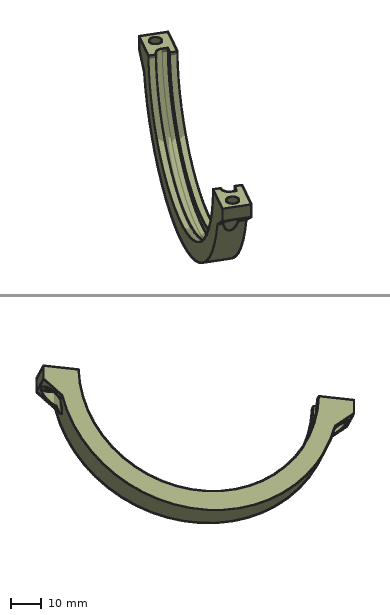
import cadquery as cq
import math

length = 106.0
width = 10.0
height = 47.0
axis_height = 1.1
wall = 7.0
ear_edge = 5.0
slope_foot_x = 46.6

bolt_diameter = 4.2
bolt_x = 49.0
bolt_y = -0.4
head_diameter = 7.0
head_seat_depth = 5.0

groove_width = 4.8
groove_depth = 2.9

half_length = length / 2
outer_radius = height + axis_height
inner_radius = outer_radius - wall
slope_foot_z = axis_height - math.sqrt(outer_radius**2 - slope_foot_x**2)
bore_half_width = math.sqrt(inner_radius**2 - axis_height**2)


def make_body():
    """Half ring with a tapered ear at each end."""
    return (
        cq.Workplane("XZ")
        .moveTo(-half_length, 0)
        .lineTo(-half_length, -ear_edge)
        .lineTo(-slope_foot_x, slope_foot_z)
        .threePointArc((0, -height), (slope_foot_x, slope_foot_z))
        .lineTo(half_length, -ear_edge)
        .lineTo(half_length, 0)
        .lineTo(bore_half_width, 0)
        .threePointArc((0, axis_height - inner_radius), (-bore_half_width, 0))
        .close()
        .extrude(width / 2, both=True)
    )


def make_groove():
    """Ring cutter, square on the +Y side and rounded on the -Y side."""
    top_y = groove_width / 2
    bottom_y = top_y - groove_width
    arc_y = bottom_y + groove_depth
    floor_radius = inner_radius + groove_depth
    arc_reach = groove_depth * math.sqrt(0.5)
    profile = (
        cq.Workplane("XY", origin=(0, 0, axis_height))
        .moveTo(0, top_y)
        .lineTo(floor_radius, top_y)
        .lineTo(floor_radius, arc_y)
        .threePointArc((inner_radius + arc_reach, arc_y - arc_reach), (inner_radius, bottom_y))
        .lineTo(0, bottom_y)
        .close()
    )
    return profile.revolve(360, (0, 0, 0), (0, 1, 0))


def make_bolt_cutter(x):
    """Through hole with a head clearance open to the underside of the ear."""
    shank = cq.Workplane("XY").center(x, bolt_y).circle(bolt_diameter / 2).extrude(-height)
    head = (
        cq.Workplane("XY", origin=(x, bolt_y, -head_seat_depth))
        .circle(head_diameter / 2)
        .extrude(head_seat_depth - height)
    )
    return shank.union(head)


result = make_body().cut(make_groove())
for bolt_side in (-1, 1):
    result = result.cut(make_bolt_cutter(bolt_side * bolt_x))